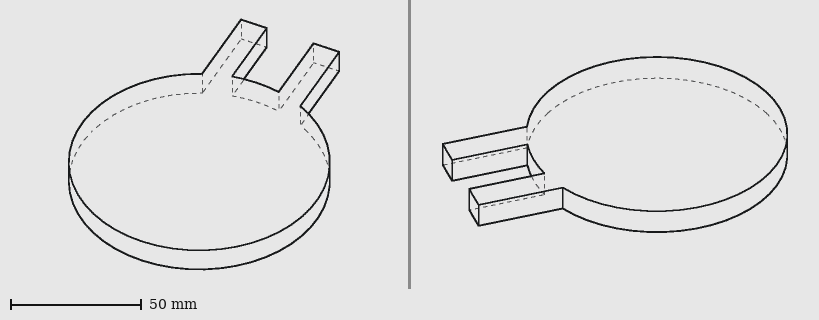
import cadquery as cq

overall_length = 129.3
disc_diameter = 99.8
thickness = 10.0
prong_gap = 19.8
prong_width = 11.0

disc_radius = disc_diameter / 2
prong_tip_y = overall_length - disc_radius
prong_offset = (prong_gap + prong_width) / 2


def make_prong(center_x):
    """Straight bar from the disc's X axis out to the prong tip."""
    return (
        cq.Workplane("XY")
        .center(center_x, prong_tip_y / 2)
        .rect(prong_width, prong_tip_y)
        .extrude(thickness)
    )


result = cq.Workplane("XY").circle(disc_radius).extrude(thickness)

for side in (-1, 1):
    result = result.union(make_prong(side * prong_offset))